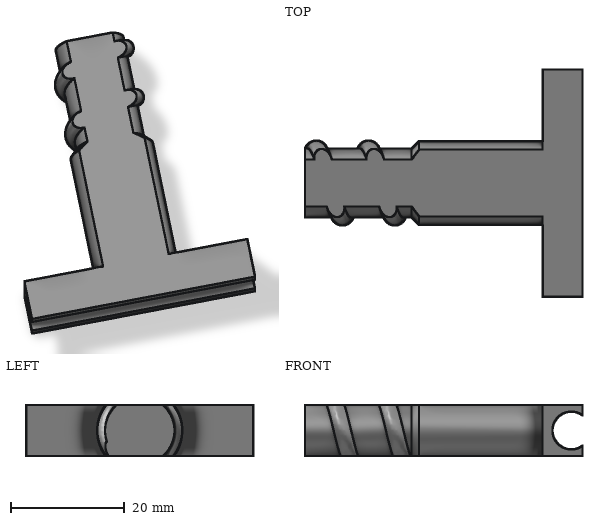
import cadquery as cq

total_length = 48.87
thickness = 9.0

bar_width = 7.05
bar_length = 40.0
channel_radius = 3.3
channel_inset = 2.0

core_radius = 6.1
core_length = 18.8
shank_radius = 7.4
shoulder_length = 1.3

thread_pitch = 9.2
ridge_radius = 1.55
ridge_path_radius = 5.95
ridge_start_x = -0.29
ridge_turns = 2

bar_start = total_length - bar_width
shank_start = core_length + shoulder_length


def make_stem():
    """Round stem turned about the X axis."""
    return (
        cq.Workplane("XY")
        .lineTo(0, core_radius)
        .lineTo(core_length, core_radius)
        .lineTo(shank_start, shank_radius)
        .lineTo(bar_start, shank_radius)
        .lineTo(bar_start, 0)
        .close()
        .revolve(axisStart=(0, 0, 0), axisEnd=(1, 0, 0))
    )


def make_thread():
    """Helical ridge that starts and ends on the -Z side of the stem."""
    path = cq.Wire.makeHelix(thread_pitch, ridge_turns * thread_pitch, ridge_path_radius)
    ridge = (
        cq.Workplane("XZ")
        .center(ridge_path_radius, 0)
        .circle(ridge_radius)
        .sweep(cq.Workplane(path), isFrenet=True)
    )
    along_stem = cq.Plane(origin=(ridge_start_x, 0, 0), xDir=(0, 0, -1), normal=(1, 0, 0))
    return cq.Workplane(ridge.val().moved(cq.Location(along_stem)))


def make_stem_envelope():
    """Slab that gives the stem its two flats and its flat tip."""
    return cq.Workplane("XY").box(
        bar_start, bar_length, thickness, centered=(False, True, True)
    )


def make_crossbar():
    """Rectangular bar with an open round channel along its full length."""
    bar = (
        cq.Workplane("XY")
        .box(bar_width, bar_length, thickness, centered=(False, True, True))
        .translate((bar_start, 0, 0))
    )
    channel = (
        cq.Workplane("XZ")
        .center(total_length - channel_inset, 0)
        .circle(channel_radius)
        .extrude(bar_length / 2, both=True)
    )
    return bar.cut(channel)


stem = make_stem().union(make_thread()).intersect(make_stem_envelope())
result = stem.union(make_crossbar())